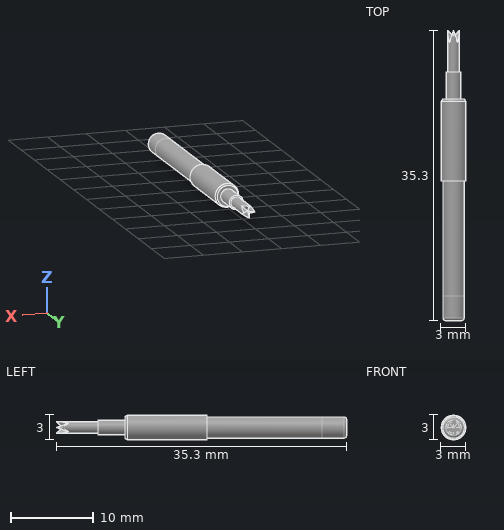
import cadquery as cq
import math

length = 35.3
plunger_radius = 0.7
collar_radius = 0.9
sleeve_radius = 1.5
tail_radius = 1.3

cap_joint_y = 3.0
sleeve_start_y = 16.98
sleeve_end_y = 26.97
collar_end_y = 30.25

tail_fillet = 0.35
sleeve_chamfer_radial = 0.18
sleeve_chamfer_axial = 0.32

tooth_count = 4
crown_center_depth = 0.7
valley_depth = 1.5


def cylinder(radius, start_y, end_y):
    """Solid cylinder on the Y axis."""
    base = cq.Workplane("XZ", origin=(0, start_y, 0))
    return base.circle(radius).extrude(start_y - end_y)


def make_tail():
    """Body of the tail and its rounded end cap."""
    body = cylinder(tail_radius, cap_joint_y, sleeve_start_y)
    cap = cylinder(tail_radius, 0, cap_joint_y).faces("<Y").edges().fillet(tail_fillet)
    return body.union(cap, clean=False)


def make_sleeve():
    """Thick sleeve, bevelled on the crown side."""
    profile = (
        cq.Workplane("XY")
        .moveTo(0, sleeve_start_y)
        .lineTo(sleeve_radius, sleeve_start_y)
        .lineTo(sleeve_radius, sleeve_end_y - sleeve_chamfer_axial)
        .lineTo(sleeve_radius - sleeve_chamfer_radial, sleeve_end_y)
        .lineTo(0, sleeve_end_y)
        .close()
    )
    return profile.revolve(360, (0, 0, 0), (0, 1, 0))


def make_collar():
    """Plain guide collar between sleeve and plunger."""
    return cylinder(collar_radius, sleeve_end_y, collar_end_y)


def make_groove():
    """V-shaped cutter for the gap between the +X and +Z teeth."""
    floor_fall = (valley_depth - crown_center_depth) / plunger_radius
    tooth_distance = plunger_radius * math.sin(math.pi / tooth_count)
    wall_rise = floor_fall + crown_center_depth / tooth_distance

    diagonal = math.sqrt(0.5)
    floor_plane = cq.Plane(
        origin=(0, length - crown_center_depth, 0),
        xDir=(diagonal, 0, -diagonal),
        normal=(diagonal, -floor_fall, diagonal),
    )
    half_width = 2 * plunger_radius
    wall_height = half_width * wall_rise * math.cos(math.atan(floor_fall))
    cutter_reach = 10 * plunger_radius
    wedge = (
        cq.Workplane(floor_plane)
        .polyline([(0, 0), (half_width, wall_height), (-half_width, wall_height)])
        .close()
        .extrude(cutter_reach, both=True)
    )
    quadrant = cq.Workplane("XY").box(half_width, 2 * length, half_width, centered=False)
    return wedge.intersect(quadrant)


def make_plunger():
    """Slim plunger with the crown cut into its free end."""
    plunger = cylinder(plunger_radius, collar_end_y, length)
    groove = make_groove()
    for index in range(tooth_count):
        angle = index * 360 / tooth_count
        plunger = plunger.cut(groove.rotate((0, 0, 0), (0, 1, 0), angle))
    return plunger


result = make_tail().union(make_sleeve(), clean=False)
result = result.union(make_collar(), clean=False)
result = result.union(make_plunger(), clean=False)